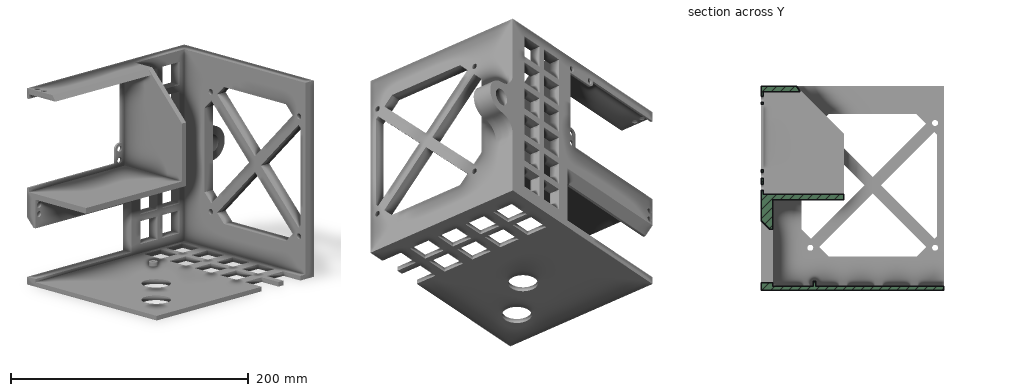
import cadquery as cq
import math

WIDTH = 154.0
DEPTH = 187.0
HEIGHT = 172.0
FLOOR_THICKNESS = 4.0
WALL_THICKNESS = 10.0
BACK_THICKNESS = 10.0
SILL_HEIGHT = 6.8

BAY_WIDTH = 70.0
BAY_PLATE = 5.0
BAY_LENGTH = 119.0
BAY_INNER_LENGTH = BAY_LENGTH - BAY_PLATE
SHELF_TOP = 81.3
SHELF_BOTTOM = SHELF_TOP - BAY_PLATE
ROOF_BOTTOM = HEIGHT - BAY_PLATE
ROOF_WIDTH = 30.0
ROOF_BEVEL = 3.5
PANEL_BEVEL = 40.0
SKIN_THICKNESS = 2.0

WINDOW_BACK = 110.0
WINDOW_BOTTOM = 85.0
WINDOW_TOP = 163.0
UPPER_EAR_RADIUS = 4.5
LOWER_EAR_RADIUS = 5.0
BACK_SCREW_Y = 108.0
FRONT_SCREW_Y = 84.0
UPPER_SCREW_Z = 161.0
EAR_SCREW_Z = 97.0
LOWER_SCREW_Z = 87.0

SKIRT_BOTTOM = 51.2
SKIRT_CHAMFER = 7.5

SCREW_DIAMETER = 5.0
END_SCREW_Y = 4.0
SKIRT_SCREW_Z = (63.0, 71.0)
ROOF_SCREW_X = (8.0, 16.0)

VENT_SIZE = 20.0
VENT_PITCH = 26.0
VENT_FIRST_Y = 125.0
VENT_ROWS_Y = 2
WALL_VENT_FIRST_Z = 12.0
WALL_VENT_COUNT = 6
FLOOR_VENT_FIRST_X = 14.0
FLOOR_VENT_PITCH_X = 30.0
FLOOR_VENT_COUNT = 5

FAN_X = 94.0
FAN_Z = 88.5
FAN_SIZE = 120.0
FAN_SCREW_SPACING = 105.0
FAN_BRACE_WIDTH = 9.8
FAN_BRACE_ANGLE = 45.0
FAN_CORNER_REACH = 68.5
FAN_RIGHT_MARGIN = 6.0

LUG_RADIUS = 15.0
LUG_HOLE_DIAMETER = 15.0
LUG_WIDTH = 18.0
LUG_Y = DEPTH + LUG_RADIUS
LUG_Z = HEIGHT / 2

PORT_DIAMETER = 25.0
PORT_CENTERS = ((84.0, 69.5), (119.0, 34.5))
STANDOFF_DIAMETER = 7.5
STANDOFF_HOLE_DIAMETER = 3.0
STANDOFF_HEIGHT = 4.0
STANDOFF_X = 45.0
STANDOFF_Y = 105.0


def block(x_range, y_range, z_range):
    """Box spanning the given (low, high) range on each axis."""
    (x0, x1), (y0, y1), (z0, z1) = x_range, y_range, z_range
    return cq.Workplane("XY").box(x1 - x0, y1 - y0, z1 - z0, centered=False).translate((x0, y0, z0))


def rod_x(y, z, diameter, length):
    """Cylinder along X, starting at X = 0."""
    return cq.Workplane("YZ").center(y, z).circle(diameter / 2).extrude(length)


def rod_y(x, z, diameter, y_start, length):
    """Cylinder along +Y, starting at y_start."""
    return cq.Workplane("XZ", origin=(0, y_start, 0)).center(x, z).circle(diameter / 2).extrude(-length)


def rod_z(x, y, diameter, z_start, length):
    """Cylinder along +Z, starting at z_start."""
    return cq.Workplane("XY", origin=(0, 0, z_start)).center(x, y).circle(diameter / 2).extrude(length)


def profile_xz(points, y_start, length):
    """Closed XZ polygon extruded along +Y."""
    return cq.Workplane("XZ", origin=(0, y_start, 0)).polyline(points).close().extrude(-length)


def make_side_wall():
    """Wall at X = 0: full height behind the bay, a sill and a skirt beside it."""
    wall = block((0, WALL_THICKNESS), (BAY_INNER_LENGTH, DEPTH), (0, HEIGHT))
    sill = block((0, WALL_THICKNESS), (0, DEPTH), (0, SILL_HEIGHT))
    skirt_points = [
        (0, SHELF_TOP),
        (0, SKIRT_BOTTOM + SKIRT_CHAMFER),
        (SKIRT_CHAMFER, SKIRT_BOTTOM),
        (WALL_THICKNESS, SKIRT_BOTTOM),
        (WALL_THICKNESS, SHELF_TOP),
    ]
    return wall.union(sill).union(profile_xz(skirt_points, 0, BAY_INNER_LENGTH))


def make_bay():
    """Shelf, roof and end panel of the bay."""
    shelf = block((0, BAY_WIDTH), (0, BAY_LENGTH), (SHELF_BOTTOM, SHELF_TOP))
    roof_points = [
        (0, HEIGHT),
        (ROOF_WIDTH, HEIGHT),
        (ROOF_WIDTH + ROOF_BEVEL, ROOF_BOTTOM),
        (0, ROOF_BOTTOM),
    ]
    panel_points = [
        (0, SHELF_BOTTOM),
        (BAY_WIDTH, SHELF_BOTTOM),
        (BAY_WIDTH, HEIGHT - PANEL_BEVEL),
        (BAY_WIDTH - PANEL_BEVEL, HEIGHT),
        (0, HEIGHT),
    ]
    roof = profile_xz(roof_points, 0, BAY_LENGTH)
    panel = profile_xz(panel_points, BAY_INNER_LENGTH, BAY_PLATE)
    return shelf.union(roof).union(panel)


def make_bay_skin():
    """Thin skin on the open side of the bay, with a window that leaves the screw ears."""
    skin = block((0, SKIN_THICKNESS), (0, BAY_INNER_LENGTH), (SHELF_BOTTOM, HEIGHT))
    window = block((0, SKIN_THICKNESS), (0, WINDOW_BACK), (WINDOW_BOTTOM, WINDOW_TOP))
    upper_ear = block(
        (0, SKIN_THICKNESS),
        (FRONT_SCREW_Y, WINDOW_BACK),
        (UPPER_SCREW_Z - UPPER_EAR_RADIUS, WINDOW_TOP),
    )
    upper_round = rod_x(FRONT_SCREW_Y, UPPER_SCREW_Z, 2 * UPPER_EAR_RADIUS, SKIN_THICKNESS)
    lower_ear = block(
        (0, SKIN_THICKNESS),
        (BACK_SCREW_Y - LOWER_EAR_RADIUS, WINDOW_BACK),
        (WINDOW_BOTTOM, EAR_SCREW_Z),
    )
    lower_ear_top = block(
        (0, SKIN_THICKNESS),
        (BACK_SCREW_Y, WINDOW_BACK),
        (EAR_SCREW_Z, EAR_SCREW_Z + LOWER_EAR_RADIUS),
    )
    lower_round = rod_x(BACK_SCREW_Y, EAR_SCREW_Z, 2 * LOWER_EAR_RADIUS, SKIN_THICKNESS)
    skin = skin.cut(window)
    for ear in (upper_ear, upper_round, lower_ear, lower_ear_top, lower_round):
        skin = skin.union(ear)
    return skin


def make_lug():
    """Rounded lug that flares into the back plate with tangent arcs."""
    arc_offset = LUG_RADIUS / math.sqrt(2)
    flare_y = LUG_Y - arc_offset
    flare_dz = 2 * LUG_RADIUS - arc_offset
    return (
        cq.Workplane("YZ")
        .moveTo(DEPTH, LUG_Z - 2 * LUG_RADIUS)
        .threePointArc((flare_y, LUG_Z - flare_dz), (LUG_Y, LUG_Z - LUG_RADIUS))
        .threePointArc((LUG_Y + LUG_RADIUS, LUG_Z), (LUG_Y, LUG_Z + LUG_RADIUS))
        .threePointArc((flare_y, LUG_Z + flare_dz), (DEPTH, LUG_Z + 2 * LUG_RADIUS))
        .lineTo(DEPTH - BACK_THICKNESS, LUG_Z + 2 * LUG_RADIUS)
        .lineTo(DEPTH - BACK_THICKNESS, LUG_Z - 2 * LUG_RADIUS)
        .close()
        .extrude(LUG_WIDTH)
        .cut(rod_x(LUG_Y, LUG_Z, LUG_HOLE_DIAMETER, LUG_WIDTH))
    )


def make_fan_opening():
    """Square opening with beveled corners, less the crossed braces."""
    half = FAN_SIZE / 2
    back_y = (DEPTH - BACK_THICKNESS, DEPTH)
    opening = block(
        (FAN_X - half, WIDTH - FAN_RIGHT_MARGIN),
        back_y,
        (FAN_Z - half, FAN_Z + half),
    )
    axis_start = (FAN_X, 0, FAN_Z)
    axis_end = (FAN_X, 1, FAN_Z)
    reach = FAN_CORNER_REACH
    diamond = block((FAN_X - reach, FAN_X + reach), back_y, (FAN_Z - reach, FAN_Z + reach))
    opening = opening.intersect(diamond.rotate(axis_start, axis_end, FAN_BRACE_ANGLE))
    brace = block(
        (FAN_X - FAN_SIZE, FAN_X + FAN_SIZE),
        back_y,
        (FAN_Z - FAN_BRACE_WIDTH / 2, FAN_Z + FAN_BRACE_WIDTH / 2),
    )
    for angle in (FAN_BRACE_ANGLE, -FAN_BRACE_ANGLE):
        opening = opening.cut(brace.rotate(axis_start, axis_end, angle))
    return opening


def cut_fan_mount(body):
    body = body.cut(make_fan_opening())
    offset = FAN_SCREW_SPACING / 2
    for x in (FAN_X - offset, FAN_X + offset):
        for z in (FAN_Z - offset, FAN_Z + offset):
            body = body.cut(rod_y(x, z, SCREW_DIAMETER, DEPTH - BACK_THICKNESS, BACK_THICKNESS))
    return body


def cut_vents(body):
    for row in range(VENT_ROWS_Y):
        y = VENT_FIRST_Y + row * VENT_PITCH
        y_range = (y, y + VENT_SIZE)
        for i in range(WALL_VENT_COUNT):
            z = WALL_VENT_FIRST_Z + i * VENT_PITCH
            body = body.cut(block((0, WALL_THICKNESS), y_range, (z, z + VENT_SIZE)))
        for i in range(FLOOR_VENT_COUNT):
            x = FLOOR_VENT_FIRST_X + i * FLOOR_VENT_PITCH_X
            body = body.cut(block((x, x + VENT_SIZE), y_range, (0, FLOOR_THICKNESS)))
    return body


def cut_bay_screws(body):
    ear_screws = [
        (BACK_SCREW_Y, UPPER_SCREW_Z),
        (FRONT_SCREW_Y, UPPER_SCREW_Z),
        (BACK_SCREW_Y, EAR_SCREW_Z),
        (BACK_SCREW_Y, LOWER_SCREW_Z),
    ]
    for y, z in ear_screws:
        body = body.cut(rod_x(y, z, SCREW_DIAMETER, SKIN_THICKNESS))
    for z in SKIRT_SCREW_Z:
        body = body.cut(rod_x(END_SCREW_Y, z, SCREW_DIAMETER, WALL_THICKNESS))
    for x in ROOF_SCREW_X:
        body = body.cut(rod_z(x, END_SCREW_Y, SCREW_DIAMETER, ROOF_BOTTOM, BAY_PLATE))
    return body


def add_floor_details(body):
    """Round ports through the floor and a drilled standoff on it."""
    for x, y in PORT_CENTERS:
        body = body.cut(rod_z(x, y, PORT_DIAMETER, 0, FLOOR_THICKNESS))
    standoff = rod_z(STANDOFF_X, STANDOFF_Y, STANDOFF_DIAMETER, FLOOR_THICKNESS, STANDOFF_HEIGHT)
    hole = rod_z(STANDOFF_X, STANDOFF_Y, STANDOFF_HOLE_DIAMETER, FLOOR_THICKNESS, STANDOFF_HEIGHT)
    return body.union(standoff.cut(hole))


body = block((0, WIDTH), (0, DEPTH), (0, FLOOR_THICKNESS))
body = body.union(block((0, WIDTH), (DEPTH - BACK_THICKNESS, DEPTH), (0, HEIGHT)))
for feature in (make_side_wall(), make_bay(), make_bay_skin(), make_lug()):
    body = body.union(feature)
body = cut_fan_mount(body)
body = cut_vents(body)
body = cut_bay_screws(body)
result = add_floor_details(body)